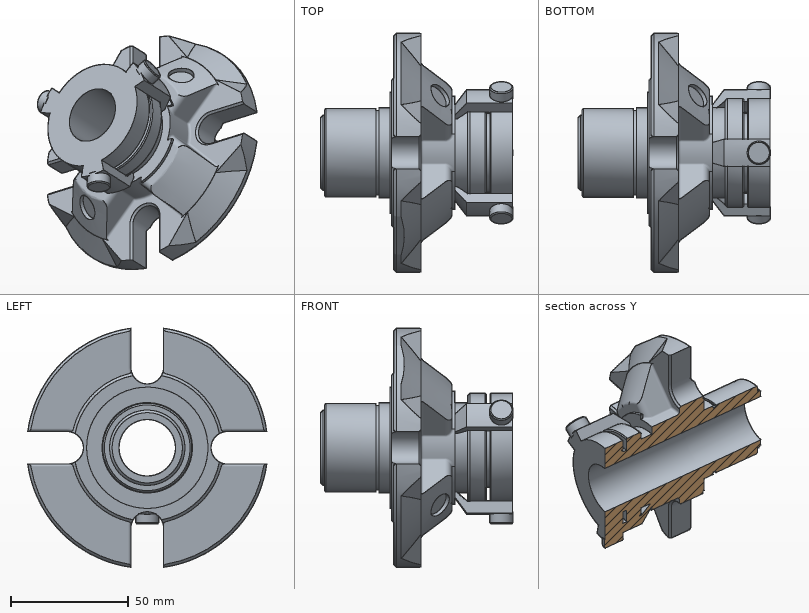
import cadquery as cq
import math


flange_radius = 51.5
flange_thickness = 11.8
flange_chamfer = 1.2
rim_length = 3.2
cone_step = 0.1
flat_distance = 50.2
flat_angle = 135
flat_cutter_depth = 10.0
slot_half_width = 6.92
slot_center_radius = 34.2
slot_edge_fillet = 1.2
slot_back_chamfer = 0.9

raised_face_x = -0.9
raised_face_radius = 31.4
raised_root_radius = 32.6
pilot_face_x = -1.5
pilot_face_diameter = 51.79

bore_diameter = 24.0
front_x = -31.2
nose_diameter = 32.18
nose_chamfer = 1.1
sleeve_start_x = -29.5
sleeve_end_x = -7.5
sleeve_diameter = 37.97
sleeve_chamfer = 0.7
neck_diameter = 36.17
shaft_start_x = -6.2
shaft_diameter = 38.61

lug_wall_angle = 53.3
lug_wall_tilt = 30.0
lug_wall_distance = 39.8

floor_diameter = 46.58
rib_half_width = 12.5
rib_end_x = 25.0
rib_end_fillet = 3.0
rib_top_fillet = 1.3
rib_base_fillet = 1.1
port_diameter = 11.0
port_x = 19.95
port_depth = 2.0
port_angles = (45, 225)

collar_end_x = 26.2
collar_radius = 25.5
collar_gap_half_width = 8.0
ring_start_x = 31.6
ring_end_x = 39.6
ring_diameter = 46.58
ring_front_chamfer = 1.0
ring_rear_chamfer = 0.5
rear_groove_diameter = 33.83
rear_ring_start_x = 41.2
rear_ring_chamfer = 0.4
rear_x = 50.8

clip_count = 3
first_clip_angle = 30
clip_span = 23.6
clip_outer_radius = 28.4
clip_bend_x = 31.2
clip_foot_radius = 21.5
clip_gap_x = 27.1
clip_overlap = 1.0
clip_rear_overlap = 0.5
pin_diameter = 10.0
pin_x = 46.04
pin_top_radius = 32.5
pin_chamfer = 0.5

slot_angles = (0, 90, 180, 270)
reach = 2 * flange_radius
tolerance = 0.01


def revolve(points, angle=360):
    """Revolve an (x, radius) outline about the X axis."""
    return cq.Workplane("XY").polyline(points).close().revolve(angle, (0, 0, 0), (1, 0, 0))


def turn(shape, angle):
    """Turn a shape about the X axis, +Y towards +Z."""
    return shape.rotate((0, 0, 0), (1, 0, 0), angle)


def cone_radius(x):
    """Radius of the 45 degree cone shared by the flange and the ribs."""
    return flange_radius - (x - rim_length)


def edge_x(edge):
    """X position of the middle of an edge."""
    return edge.positionAt(0.5).x


def edge_radius(edge):
    """Distance from the X axis to the middle of an edge."""
    middle = edge.positionAt(0.5)
    return math.hypot(middle.y, middle.z)


def slot_offset(edge):
    """Distance from the middle of an edge to the nearest slot axis."""
    middle = edge.positionAt(0.5)
    return min(abs(middle.y), abs(middle.z))


def make_collar_disc():
    disc = cq.Workplane("YZ").workplane(offset=rib_end_x).circle(collar_radius)
    return disc.extrude(collar_end_x - rib_end_x)


def make_blank():
    """Turned flange, cone and collar, still without slots, reliefs and pockets."""
    body = cq.Workplane("YZ").circle(flange_radius).extrude(flange_thickness)
    flat = cq.Workplane("XY").box(reach, flat_cutter_depth, reach)
    flat = flat.translate((0, flat_distance + flat_cutter_depth / 2, 0))
    body = body.cut(turn(flat, flat_angle))
    body = body.faces("<X").chamfer(flange_chamfer)
    cone = revolve([
        (flange_thickness, 0),
        (flange_thickness, cone_radius(flange_thickness)),
        (rib_end_x, cone_radius(rib_end_x)),
        (rib_end_x, 0),
    ])
    body = body.union(cone.faces(">X").edges().fillet(rib_top_fillet))
    body = body.union(make_collar_disc())
    raised = revolve([
        (0, 0),
        (0, raised_root_radius),
        (raised_face_x, raised_face_radius),
        (raised_face_x, 0),
    ])
    return body.union(raised)


def make_pockets():
    """Space between the ribs, outside the cylindrical floor, with rounded roots."""
    floor = floor_diameter / 2
    around = cq.Workplane("YZ").workplane(offset=flange_thickness).circle(flange_radius)
    around = turn(around.circle(floor).extrude(ring_start_x - flange_thickness), 45)

    bar_length = rib_end_x - flange_thickness
    bar = cq.Workplane("XY").box(2 * bar_length, 2 * rib_half_width, 2 * reach)
    bar = bar.translate((flange_thickness, 0, 0))
    bar = bar.edges(">X and |Z").fillet(rib_end_fillet)

    gap = cq.Workplane("XY").box(reach, reach, 2 * collar_gap_half_width)
    collar = make_collar_disc().cut(gap).cut(turn(gap, 90))
    pockets = around.cut(turn(bar, 45).union(turn(bar, -45)).union(collar))

    roots = []
    for edge in pockets.edges().vals():
        on_front = abs(edge.Center().x - flange_thickness) < tolerance
        on_floor = edge_radius(edge) < floor + tolerance
        beside_rib = edge.Center().x < rib_end_x and edge.geomType() in ("LINE", "BSPLINE")
        if on_front and edge_radius(edge) < flange_radius - tolerance:
            roots.append(edge)
        elif on_floor and beside_rib:
            roots.append(edge)
    return pockets.newObject(roots).fillet(rib_base_fillet)


def lug_side(side):
    """Half space beyond one lug wall, for the diagonal between +Y and +Z."""
    swing = math.radians(lug_wall_angle if side > 0 else 90 - lug_wall_angle)
    tilt = math.radians(lug_wall_tilt)
    normal_y = math.cos(swing)
    normal_z = math.sin(swing)
    normal = (math.sin(tilt), math.cos(tilt) * normal_y, math.cos(tilt) * normal_z)
    origin = (flange_thickness, lug_wall_distance * normal_y, lug_wall_distance * normal_z)
    wall = cq.Plane(origin=origin, xDir=(0, -normal_z, normal_y), normal=normal)
    return cq.Workplane(wall).rect(reach, reach).extrude(reach)


def make_relief():
    """Space outside the cone between two neighbouring lugs."""
    back_x = flange_thickness + 1
    outside_cone = revolve([
        (rim_length, cone_radius(rim_length) + cone_step),
        (rim_length, reach),
        (back_x, reach),
        (back_x, cone_radius(back_x) + cone_step),
    ])
    return outside_cone.intersect(lug_side(1)).intersect(lug_side(-1))


def make_slot():
    """Round-bottomed flange slot along +Y."""
    start_x = 2 * pilot_face_x
    depth = flange_thickness - start_x
    length = reach - slot_center_radius
    round_end = cq.Workplane("YZ").center(slot_center_radius, 0).circle(slot_half_width)
    straight = cq.Workplane("YZ").center(slot_center_radius + length / 2, 0)
    straight = straight.rect(length, 2 * slot_half_width)
    slot = round_end.extrude(depth).union(straight.extrude(depth))
    return slot.translate((start_x, 0, 0))


def soften_slots(body):
    """Chamfer the slot bottoms at the back and round the straight front edges."""
    bottom_radius = slot_center_radius - slot_half_width
    back = []
    for edge in body.edges().vals():
        at_back = abs(edge_x(edge) - flange_thickness) < tolerance
        at_bottom = abs(edge_radius(edge) - bottom_radius) < tolerance
        if at_back and at_bottom and edge.geomType() == "CIRCLE":
            back.append(edge)
    body = body.newObject(back).chamfer(slot_back_chamfer)

    front = []
    for edge in body.edges().vals():
        on_wall = abs(slot_offset(edge) - slot_half_width) < tolerance
        if abs(edge_x(edge)) < tolerance and on_wall and edge.geomType() == "LINE":
            front.append(edge)
    return body.newObject(front).fillet(slot_edge_fillet)


def make_core():
    """Turned sleeve, shaft and rear rings."""
    nose = nose_diameter / 2
    sleeve = sleeve_diameter / 2
    neck = neck_diameter / 2
    shaft = shaft_diameter / 2
    pilot = pilot_face_diameter / 2
    floor = floor_diameter / 2
    ring = ring_diameter / 2
    groove = rear_groove_diameter / 2
    return revolve([
        (front_x, 0),
        (front_x, nose - nose_chamfer),
        (front_x + nose_chamfer, nose),
        (sleeve_start_x, nose),
        (sleeve_start_x, sleeve - sleeve_chamfer),
        (sleeve_start_x + sleeve_chamfer, sleeve),
        (sleeve_end_x, sleeve),
        (sleeve_end_x, neck),
        (shaft_start_x, neck),
        (shaft_start_x, shaft),
        (pilot_face_x, shaft),
        (pilot_face_x, pilot),
        (flange_thickness / 2, pilot),
        (flange_thickness / 2, floor),
        (collar_end_x, floor),
        (collar_end_x, shaft),
        (ring_start_x, shaft),
        (ring_start_x, ring - ring_front_chamfer),
        (ring_start_x + ring_front_chamfer, ring),
        (ring_end_x - ring_rear_chamfer, ring),
        (ring_end_x, ring - ring_rear_chamfer),
        (ring_end_x, groove),
        (rear_ring_start_x, groove),
        (rear_ring_start_x, ring - rear_ring_chamfer),
        (rear_ring_start_x + rear_ring_chamfer, ring),
        (rear_x, ring),
        (rear_x, 0),
    ])


def make_port():
    """Shallow round recess square to the cone, centred on +Y."""
    origin = (port_x, cone_radius(port_x), 0)
    plane = cq.Plane(origin=origin, xDir=(0, 0, 1), normal=(1, 1, 0))
    return cq.Workplane(plane).circle(port_diameter / 2).extrude(port_depth, both=True)


def make_clip():
    """Bent clip with its setting pin, centred on +Y."""
    ring = ring_diameter / 2
    shaft = shaft_diameter / 2
    outline = [
        (collar_end_x, shaft - clip_overlap),
        (collar_end_x, clip_foot_radius),
        (clip_bend_x, clip_outer_radius),
        (rear_x, clip_outer_radius),
        (rear_x, ring - clip_rear_overlap),
        (ring_start_x, ring),
        (clip_gap_x, shaft),
        (clip_gap_x, shaft - clip_overlap),
    ]
    clip = turn(revolve(outline, clip_span), -clip_span / 2)
    pin_base = clip_outer_radius - clip_overlap
    pin = cq.Workplane("XZ", origin=(0, pin_base, 0)).center(pin_x, 0).circle(pin_diameter / 2)
    pin = pin.extrude(pin_base - pin_top_radius).faces(">Y").chamfer(pin_chamfer)
    return clip.union(pin)


body = make_blank().cut(make_pockets())
relief = make_relief()
for angle in slot_angles:
    body = body.cut(turn(relief, angle))
slot = make_slot()
for angle in slot_angles:
    body = body.cut(turn(slot, angle))
body = soften_slots(body)
body = body.union(make_core())
port = make_port()
for angle in port_angles:
    body = body.cut(turn(port, angle))
clip = make_clip()
for index in range(clip_count):
    body = body.union(turn(clip, first_clip_angle + index * 360 / clip_count))
bore = cq.Workplane("YZ").circle(bore_diameter / 2).extrude(reach, both=True)
result = body.cut(bore)